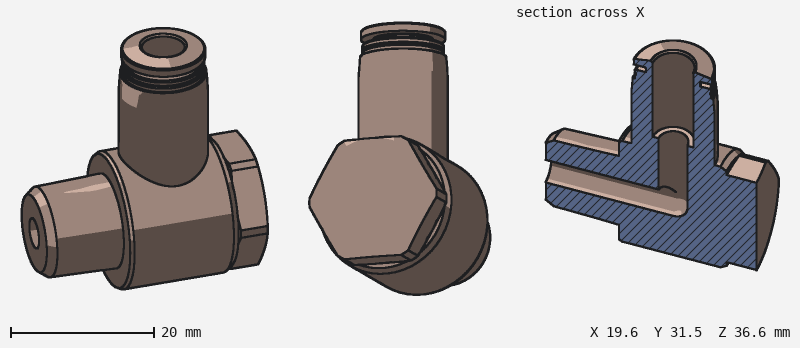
import cadquery as cq


overall_height = 36.6

body_radius = 9.8
body_back = 8.0
body_front = -8.1
back_chamfer_length = 0.9
back_chamfer_depth = 0.62
front_chamfer_length = 0.55
front_chamfer_depth = 0.3

hex_back = 12.48
hex_across_flats = 17.0
hex_turn = 30
hex_corner_radius = 9.48
hex_end_radius = 8.5
hex_end_chamfer = 0.25

thread_end = -19.05
thread_base_radius = 6.75
thread_small_radius = 6.45
thread_tip_radius = 5.53
thread_chamfer_length = 1.25

port_radius = 6.25
taper_bottom = 19.58
taper_mid_radius = 6.2
taper_top_radius = 6.05
collar_bottom = 22.55
collar_radius = 5.75
collar_edge = 0.22
groove_height = 23.35
collar_top = 24.3
neck_radius = 8.1 / 2
neck_chamfer = 0.15
button_bottom = 25.1
button_radius = 5.9
button_edge = 0.2
button_slope_height = 0.48
port_top = overall_height - body_radius

tube_radius = 3.0
tube_mouth_radius = 3.3
tube_depth = 14.65
bore_radius = 4.3 / 2


def revolve_about_y(points):
    """Revolve a closed outline of (radius, y) points about the Y axis."""
    return cq.Workplane("XY").polyline(points).close().revolve(360, (0, 0), (0, 1))


def make_body():
    return revolve_about_y([
        (0, body_front),
        (body_radius - front_chamfer_depth, body_front),
        (body_radius, body_front + front_chamfer_length),
        (body_radius, body_back - back_chamfer_length),
        (body_radius - back_chamfer_depth, body_back),
        (0, body_back),
    ])


def make_hex_head():
    length = hex_back - body_back
    prism = (
        cq.Workplane("XZ", origin=(0, hex_back, 0))
        .polygon(6, hex_across_flats, circumscribed=True)
        .extrude(length)
        .rotate((0, 0, 0), (0, 1, 0), hex_turn)
    )
    blank = revolve_about_y([
        (0, body_back),
        (hex_end_radius, body_back),
        (hex_corner_radius, body_back + hex_end_chamfer),
        (hex_corner_radius, hex_back - hex_end_chamfer),
        (hex_end_radius, hex_back),
        (0, hex_back),
    ])
    return prism.intersect(blank)


def make_threaded_end():
    return revolve_about_y([
        (0, body_front),
        (thread_base_radius, body_front),
        (thread_small_radius, thread_end + thread_chamfer_length),
        (thread_tip_radius, thread_end),
        (0, thread_end),
    ])


def make_port():
    taper_middle = (taper_bottom + collar_bottom) / 2
    groove_radius = collar_radius - collar_edge
    slope_bottom = port_top - button_slope_height
    return (
        cq.Workplane("XZ")
        .moveTo(0, 0)
        .lineTo(port_radius, 0)
        .lineTo(port_radius, taper_bottom)
        .threePointArc((taper_mid_radius, taper_middle), (taper_top_radius, collar_bottom))
        .lineTo(collar_radius, collar_bottom)
        .lineTo(collar_radius, groove_height - collar_edge)
        .lineTo(groove_radius, groove_height)
        .lineTo(collar_radius, groove_height + collar_edge)
        .lineTo(collar_radius, collar_top - collar_edge)
        .lineTo(groove_radius, collar_top)
        .lineTo(neck_radius, collar_top)
        .lineTo(neck_radius, button_bottom - neck_chamfer)
        .lineTo(neck_radius + neck_chamfer, button_bottom)
        .lineTo(button_radius, button_bottom)
        .lineTo(button_radius, slope_bottom - button_edge)
        .lineTo(button_radius - button_edge, slope_bottom)
        .lineTo(tube_mouth_radius, port_top)
        .lineTo(0, port_top)
        .close()
        .revolve(360, (0, 0), (0, 1))
    )


def make_passages():
    """Elbow bore with a ball-shaped corner, and the wider chamfered tube socket above it."""
    front_bore = cq.Workplane("XZ").circle(bore_radius).extrude(-thread_end)
    upright_bore = cq.Workplane("XY").circle(bore_radius).extrude(port_top)
    corner = cq.Workplane("XY").sphere(bore_radius)
    mouth_chamfer = tube_mouth_radius - tube_radius
    socket = (
        cq.Workplane("XZ")
        .polyline([
            (0, port_top - tube_depth),
            (tube_radius, port_top - tube_depth),
            (tube_radius, port_top - mouth_chamfer),
            (tube_mouth_radius, port_top),
            (0, port_top),
        ])
        .close()
        .revolve(360, (0, 0), (0, 1))
    )
    return front_bore.union(upright_bore).union(corner).union(socket)


solid_part = make_body().union(make_hex_head()).union(make_threaded_end()).union(make_port())
result = solid_part.cut(make_passages())